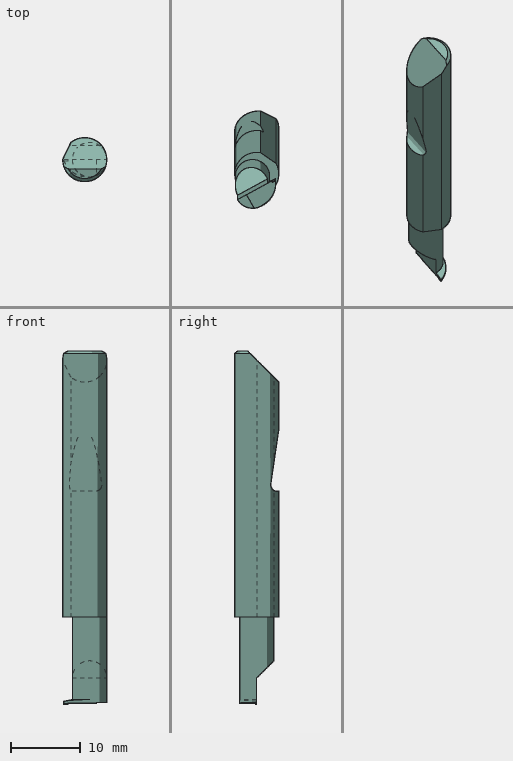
import cadquery as cq
import math

total_length = 50.8
shank_radius = 3.175
shank_bottom = 12.55
chamfer_inset = 0.45
chamfer_height = 0.35

bevel_start_y = -1.3

flat_start_y = 0.05
flat_end_y = 2.465

notch_floor_y = 1.9
notch_bottom = 30.65
notch_top = 39.45
notch_corner_radius = 0.9

neck_radius = 2.475
neck_x = shank_radius - neck_radius
neck_bottom = 0.25
half_cut_top = 3.8

blade_tip_x = -3.05
blade_mid = (-1.6, -1.9)
blade_end_x = 1.7
blade_height_at_neck = 0.7
blade_top_slope = 0.2
blade_underside = 0.15
cutting_lip_thickness = 0.2
cutting_lip_length = 0.6

margin = 1.0
outer = shank_radius + margin


def side_prism(points):
    """Prism along X, across the whole part, from (Y, Z) points."""
    return cq.Workplane("YZ").polyline(points).close().extrude(outer, both=True)


def make_shank():
    body = cq.Workplane("XZ").polyline([
        (0, shank_bottom),
        (shank_radius, shank_bottom),
        (shank_radius, total_length - chamfer_height),
        (shank_radius - chamfer_inset, total_length),
        (0, total_length),
    ]).close().revolve(360, (0, 0), (0, 1))

    bevel = side_prism([
        (bevel_start_y, total_length),
        (outer, total_length - (outer - bevel_start_y)),
        (outer, total_length + margin),
        (bevel_start_y, total_length + margin),
    ])

    start_x = -math.sqrt(shank_radius**2 - flat_start_y**2)
    end_x = -math.sqrt(shank_radius**2 - flat_end_y**2)
    run_x = end_x - start_x
    run_y = flat_end_y - flat_start_y
    flat = cq.Workplane("XY").workplane(offset=shank_bottom).polyline([
        (start_x - run_x, flat_start_y - run_y),
        (end_x + run_x, flat_end_y + run_y),
        (start_x - run_x, flat_end_y + run_y),
    ]).close().extrude(total_length - shank_bottom)

    ramp_slope = (notch_top - notch_bottom) / (shank_radius - notch_floor_y)
    notch = side_prism([
        (notch_floor_y, notch_bottom),
        (outer, notch_bottom),
        (outer, notch_top + margin * ramp_slope),
    ])
    notch_corner = cq.selectors.NearestToPointSelector((0, notch_floor_y, notch_bottom))
    notch = notch.edges("|X").edges(notch_corner).fillet(notch_corner_radius)
    return body.cut(bevel).cut(flat).cut(notch)


def make_neck():
    neck = (
        cq.Workplane("XY").workplane(offset=neck_bottom).center(neck_x, 0)
        .circle(neck_radius).extrude(shank_bottom - neck_bottom)
    )
    half_cut = side_prism([
        (0, -margin),
        (0, half_cut_top),
        (outer, half_cut_top + outer),
        (outer, -margin),
    ])
    return neck.cut(half_cut)


def make_blade():
    blade_end_y = -math.sqrt(neck_radius**2 - (blade_end_x - neck_x)**2)
    plan = (
        cq.Workplane("XY").moveTo(blade_tip_x, 0)
        .threePointArc(blade_mid, (neck_x, -neck_radius))
        .radiusArc((blade_end_x, blade_end_y), -neck_radius)
        .lineTo(blade_end_x, 0).close().extrude(blade_height_at_neck)
    )

    reach = neck_x - blade_tip_x + margin
    cone_drop = blade_top_slope * (reach - neck_radius)
    cone = cq.Workplane("XZ").polyline([
        (neck_x, 0),
        (neck_x + reach, 0),
        (neck_x + reach, blade_height_at_neck - cone_drop),
        (neck_x + neck_radius, blade_height_at_neck),
        (neck_x, blade_height_at_neck),
    ]).close().revolve(360, (neck_x, 0), (neck_x, 1))

    lip_end_x = blade_tip_x + cutting_lip_length
    relief = cq.Workplane("XY").polyline([
        (-outer, -cutting_lip_thickness),
        (lip_end_x, -cutting_lip_thickness),
        (lip_end_x, 0),
        (outer, 0),
        (outer, -outer),
        (-outer, -outer),
    ]).close().extrude(blade_underside)
    return plan.intersect(cone).cut(relief)


result = make_shank().union(make_neck()).union(make_blade())